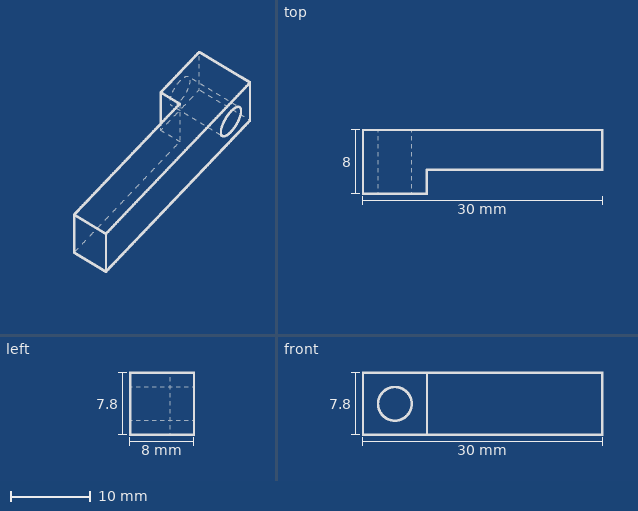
import cadquery as cq

length = 30.0
depth = 8.0
height = 7.8

head_length = depth
arm_thickness = 5.0
hole_diameter = 4.2

head = cq.Workplane("XY").box(head_length, depth, height, centered=False)
arm = (
    cq.Workplane("XY")
    .box(length, arm_thickness, height, centered=False)
    .translate((0, depth - arm_thickness, 0))
)

hole = (
    cq.Workplane("XZ")
    .center(head_length / 2, height / 2)
    .circle(hole_diameter / 2)
    .extrude(-depth)
)

result = head.union(arm).cut(hole)